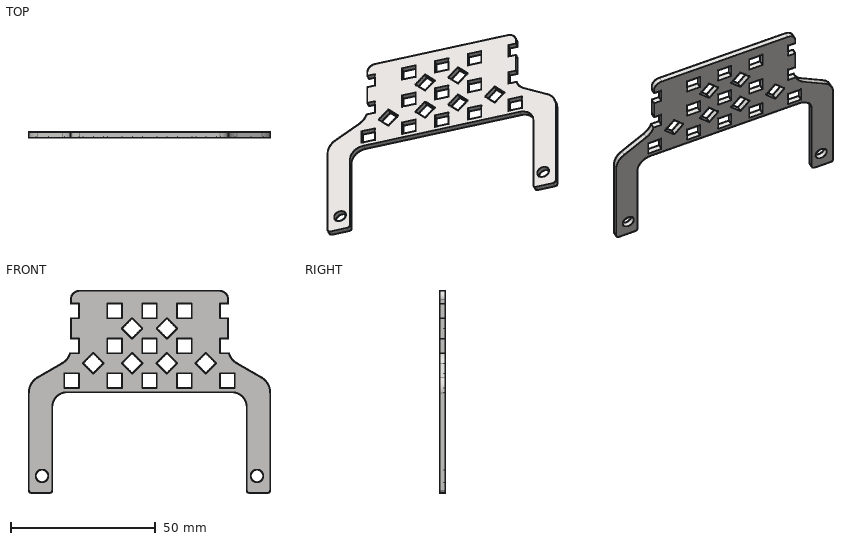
import cadquery as cq
import math

width = 83.5
height = 70.0
thickness = 2.0

panel_half_width = 27.2
leg_width = 8.2
crossbar_bottom = 34.8
shoulder_height = 38.25
shoulder_angle = 30.0
panel_corner_radius = 3.0
shoulder_radius = 6.0
neck_radius = 6.0
inner_radius = 5.0
foot_radius = 1.0

window = 5.0
pitch = 12.0
top_row = 63.0
outer_column = 26.9
row_heights = [top_row - i * pitch for i in range(3)]

hole_diameter = 4.3
hole_offset = 37.15
hole_height = 5.9

half_width = width / 2
leg_inner = half_width - leg_width
shoulder_run = half_width - panel_half_width
neck_height = shoulder_height + shoulder_run * math.tan(math.radians(shoulder_angle))


def mirrored(points):
    """Add the mirror image of each (x, z) point across X = 0."""
    return [(side * x, z) for x, z in points for side in (-1, 1)]


def sketch_plane():
    """Workplane on the back face, extruding toward the front (-Y)."""
    return cq.Workplane("XZ", origin=(0, thickness / 2, 0))


def through_cut(plate, centers, draw_shape):
    """Cut the shape drawn by draw_shape through the plate at (x, z) centers."""
    cutter = draw_shape(sketch_plane().pushPoints(centers)).extrude(thickness)
    return plate.cut(cutter)


def fillet_corner(plate, x, z, radius):
    """Round the through-thickness edges at +x and -x, height z."""
    for side in (-1, 1):
        corner = cq.selectors.NearestToPointSelector((side * x, 0, z))
        plate = plate.edges("|Y").edges(corner).fillet(radius)
    return plate


def make_plate():
    """Panel on two legs, with every outline corner rounded."""
    right_side = [
        (panel_half_width, height),
        (panel_half_width, neck_height),
        (half_width, shoulder_height),
        (half_width, 0),
        (leg_inner, 0),
        (leg_inner, crossbar_bottom),
    ]
    left_side = [(-x, z) for x, z in reversed(right_side)]
    plate = (
        sketch_plane()
        .polyline(right_side + left_side)
        .close()
        .extrude(thickness)
    )
    radii = [
        panel_corner_radius,
        neck_radius,
        shoulder_radius,
        foot_radius,
        foot_radius,
        inner_radius,
    ]
    for (x, z), radius in zip(right_side, radii):
        plate = fillet_corner(plate, x, z, radius)
    return plate


window_columns = [-outer_column, -pitch, 0, pitch, outer_column]
window_centers = [(x, z) for x in window_columns for z in row_heights]

upper_diamond_row = top_row - pitch / 2
lower_diamond_row = upper_diamond_row - pitch
inner_diamond = pitch / 2
outer_diamond = (pitch + outer_column) / 2
diamond_centers = mirrored([
    (inner_diamond, upper_diamond_row),
    (inner_diamond, lower_diamond_row),
    (outer_diamond, lower_diamond_row),
])

hole_centers = mirrored([(hole_offset, hole_height)])

plate = make_plate()
plate = through_cut(plate, window_centers, lambda at: at.rect(window, window))
plate = through_cut(plate, diamond_centers, lambda at: at.polygon(4, window * math.sqrt(2)))
plate = through_cut(plate, hole_centers, lambda at: at.circle(hole_diameter / 2))

result = plate